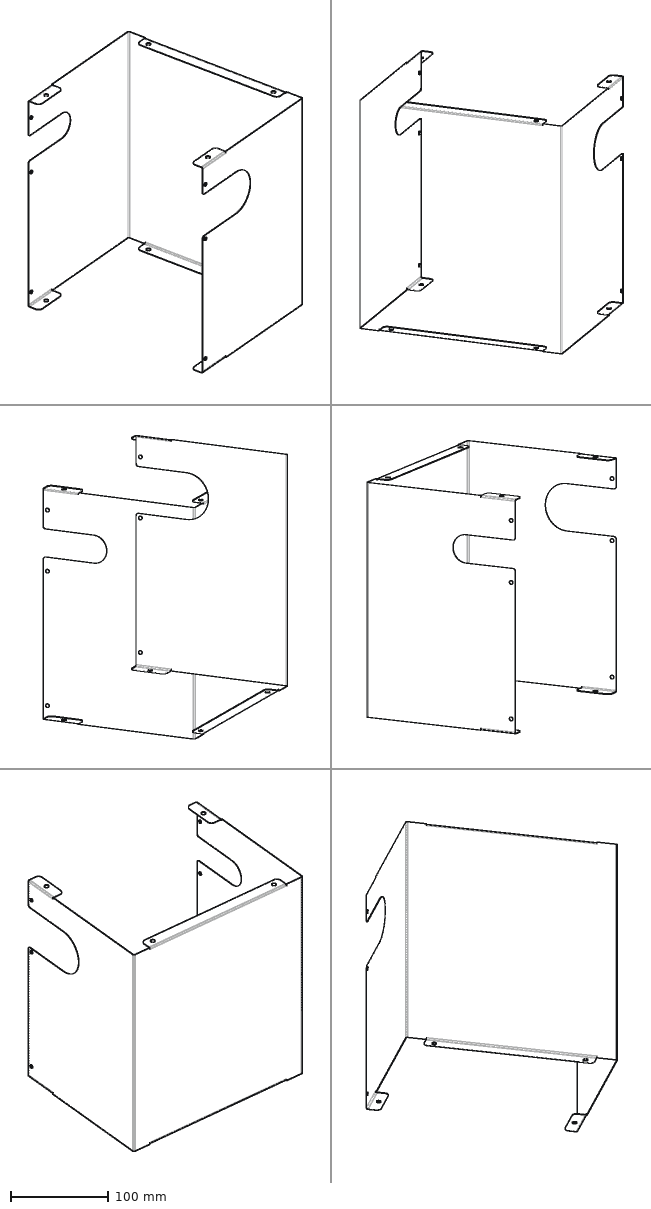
import cadquery as cq

width = 224.5
depth = 173.3
height = 248.0

sheet = 1.0
bend_inner = 1.0
bend_outer = bend_inner + sheet

flange_reach = 14.9
flange_corner = 5.0
rear_flange_length = 181.0
side_flange_length = 40.2
flange_hole = 5.0
flange_hole_inset = 8.5
rear_hole_spacing = 160.6

wall_hole = 4.0
wall_hole_inset = 5.0
wall_hole_heights = (15.5, 159.6, 225.0)

slot_center_inset = 57.5
left_slot_height = 189.6
left_slot_width = 30.0
right_slot_height = 189.5
right_slot_width = 50.0
slot_mouth_radius = 3.0

front = -depth / 2
back = depth / 2


def make_walls():
    """Back wall and two side walls, joined by rounded vertical bends."""
    outer = (
        cq.Workplane("XY")
        .box(width, depth, height, centered=(True, True, False))
        .edges("|Z and >Y")
        .fillet(bend_outer)
    )
    inner = (
        cq.Workplane("XY")
        .box(width - 2 * sheet, depth, height, centered=(True, True, False))
        .translate((0, -sheet, 0))
        .edges("|Z and >Y")
        .fillet(bend_inner)
    )
    return outer.cut(inner)


def make_flange(length, hole_offsets):
    """Top flange along X, bent from a wall whose outer face is y = 0 and reaching toward -Y."""
    profile = (
        cq.Workplane("YZ")
        .moveTo(0, height - bend_outer)
        .radiusArc((-bend_outer, height), -bend_outer)
        .lineTo(-flange_reach, height)
        .lineTo(-flange_reach, height - sheet)
        .lineTo(-bend_outer, height - sheet)
        .radiusArc((-sheet, height - bend_outer), bend_inner)
        .close()
    )
    flange = profile.extrude(length / 2, both=True).edges("|Z and <Y").fillet(flange_corner)
    holes = (
        cq.Workplane("XY")
        .workplane(offset=height - bend_outer)
        .pushPoints([(offset, -flange_hole_inset) for offset in hole_offsets])
        .circle(flange_hole / 2)
        .extrude(2 * bend_outer)
    )
    return flange.cut(holes)


def make_bend_clearance(length):
    """Square wall edge that the bend of a top flange replaces."""
    return (
        cq.Workplane("XY")
        .box(length, sheet, bend_outer, centered=(True, True, False))
        .translate((0, -sheet / 2, height - bend_outer))
    )


def place_on_walls(body):
    """Copies of a side-flange body moved to the left and right walls."""
    flange_y = front + side_flange_length / 2
    left = body.rotate((0, 0, 0), (0, 0, 1), 90).translate((-width / 2, flange_y, 0))
    return left, left.mirror("YZ")


def mirror_to_bottom(body):
    return body.mirror("XY", (0, 0, height / 2))


def make_slot(wall_x, center_height, slot_width):
    """Cutter for a slot through one side wall: round inner end, open front, rounded mouth."""
    radius = slot_width / 2
    mouth = radius + slot_mouth_radius
    mouth_y = front + slot_mouth_radius
    center_y = front + slot_center_inset
    return (
        cq.Workplane("YZ", origin=(wall_x, 0, center_height))
        .moveTo(front, -mouth)
        .radiusArc((mouth_y, -radius), slot_mouth_radius)
        .lineTo(center_y, -radius)
        .threePointArc((center_y + radius, 0), (center_y, radius))
        .lineTo(mouth_y, radius)
        .radiusArc((front, mouth), slot_mouth_radius)
        .close()
        .extrude(2 * sheet, both=True)
    )


def make_wall_holes():
    """Holes running straight through both side walls."""
    hole_y = front + wall_hole_inset
    return (
        cq.Workplane("YZ")
        .pushPoints([(hole_y, hole_height) for hole_height in wall_hole_heights])
        .circle(wall_hole / 2)
        .extrude(width, both=True)
    )


rear_holes = (-rear_hole_spacing / 2, rear_hole_spacing / 2)
rear_flange = make_flange(rear_flange_length, rear_holes).translate((0, back, 0))
rear_clearance = make_bend_clearance(rear_flange_length).translate((0, back, 0))
top_flanges = (rear_flange, *place_on_walls(make_flange(side_flange_length, (0,))))
top_clearances = (rear_clearance, *place_on_walls(make_bend_clearance(side_flange_length)))

result = make_walls()
for clearance in top_clearances:
    result = result.cut(clearance).cut(mirror_to_bottom(clearance))
for flange in top_flanges:
    result = result.union(flange).union(mirror_to_bottom(flange))

result = result.cut(make_slot(-width / 2, left_slot_height, left_slot_width))
result = result.cut(make_slot(width / 2, right_slot_height, right_slot_width))
result = result.cut(make_wall_holes())